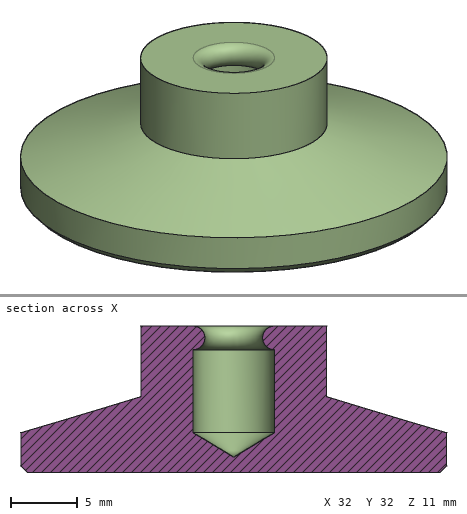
import cadquery as cq
import math

disc_radius = 16.0
disc_height = 3.0
rim_chamfer = 0.5

boss_radius = 7.0
shoulder_top = 5.7
total_height = 11.0

bore_radius = 3.05
throat_radius = 2.15
bore_depth = 8.0
drill_point_angle = 118.0

lip_rounding = bore_radius - throat_radius
drill_tip_length = bore_radius / math.tan(math.radians(drill_point_angle / 2))


def make_body():
    """Disc, conical shoulder and boss as one revolved profile."""
    profile = (
        cq.Workplane("XZ")
        .moveTo(0, 0)
        .lineTo(disc_radius - rim_chamfer, 0)
        .lineTo(disc_radius, rim_chamfer)
        .lineTo(disc_radius, disc_height)
        .lineTo(boss_radius, shoulder_top)
        .lineTo(boss_radius, total_height)
        .lineTo(0, total_height)
        .close()
    )
    return profile.revolve(360, (0, 0, 0), (0, 1, 0))


def make_bore():
    """Blind bore with a half-round lip at its mouth and a conical drill point."""
    throat_z = total_height - lip_rounding
    lip_bottom_z = throat_z - lip_rounding
    shoulder_z = total_height - bore_depth
    profile = (
        cq.Workplane("XZ")
        .moveTo(0, total_height)
        .lineTo(bore_radius, total_height)
        .radiusArc((throat_radius, throat_z), -lip_rounding)
        .radiusArc((bore_radius, lip_bottom_z), -lip_rounding)
        .lineTo(bore_radius, shoulder_z)
        .lineTo(0, shoulder_z - drill_tip_length)
        .close()
    )
    return profile.revolve(360, (0, 0, 0), (0, 1, 0))


result = make_body().cut(make_bore())